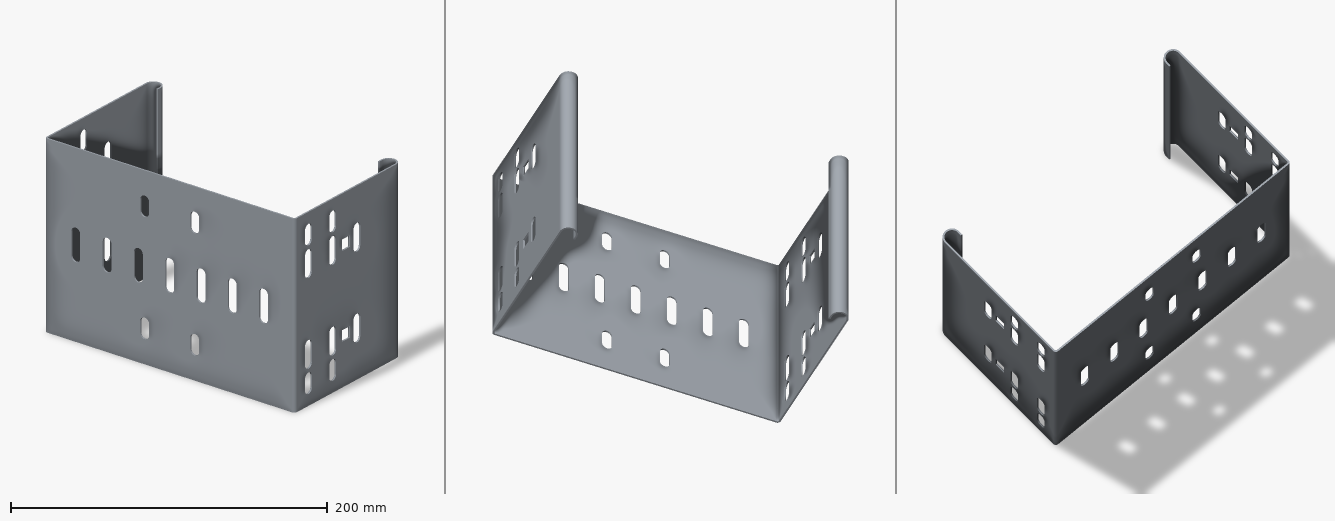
import cadquery as cq

WIDTH = 200.0
DEPTH = 110.5
HEIGHT = 135.0
SHEET = 1.2

INNER_BEND_RADIUS = 1.0
BEND_RADIUS = INNER_BEND_RADIUS + SHEET
HOOK_RADIUS = 6.0
LIP_LENGTH = 3.0

SLOT_WIDTH = 7.0

ROW_SLOT_COUNT = 7
ROW_SLOT_PITCH = 25.0
ROW_SLOT_LENGTH = 24.0
BACK_SLOT_LENGTH = 15.0
BACK_SLOT_SPACING_X = 40.0
BACK_SLOT_SPACING_Z = 85.0

COLUMN_PITCH = 25.0
FIRST_COLUMN_Y = 14.0
INNER_SLOT_COLUMNS = 3
INNER_SLOT_LENGTH = 20.0
INNER_SPACING_Z = 63.2
OUTER_SLOT_COLUMNS = 2
OUTER_SLOT_LENGTH = 15.0
OUTER_SPACING_Z = 103.5
SQUARE_SIDE = 8.0
SQUARE_Y = 52.5


def right_half_profile():
    """Closed sheet section for X >= 0, drawn in the XY plane."""
    outer_x = WIDTH / 2
    inner_x = outer_x - SHEET
    bend_x = outer_x - BEND_RADIUS
    hook_x = outer_x - HOOK_RADIUS
    hook_y = DEPTH - HOOK_RADIUS
    lip_end_y = hook_y - LIP_LENGTH
    lip_outer_x = hook_x - HOOK_RADIUS
    return (
        cq.Workplane("XY")
        .moveTo(0, 0)
        .lineTo(bend_x, 0)
        .radiusArc((outer_x, BEND_RADIUS), -BEND_RADIUS)
        .lineTo(outer_x, hook_y)
        .threePointArc((hook_x, DEPTH), (lip_outer_x, hook_y))
        .lineTo(lip_outer_x, lip_end_y)
        .lineTo(lip_outer_x + SHEET, lip_end_y)
        .lineTo(lip_outer_x + SHEET, hook_y)
        .threePointArc((hook_x, DEPTH - SHEET), (inner_x, hook_y))
        .lineTo(inner_x, BEND_RADIUS)
        .radiusArc((bend_x, SHEET), INNER_BEND_RADIUS)
        .lineTo(0, SHEET)
        .close()
    )


def channel():
    half = right_half_profile().extrude(HEIGHT / 2, both=True)
    return half.union(half.mirror("YZ"))


def back_slots(points, length):
    """Upright slot cutters through the back plate at (x, z) points."""
    return (
        cq.Workplane("XZ")
        .pushPoints(points)
        .slot2D(length, SLOT_WIDTH, 90)
        .extrude(2 * SHEET, both=True)
    )


def side_slots(points, length):
    """Upright slot cutters through both side walls at (y, z) points."""
    return (
        cq.Workplane("YZ")
        .pushPoints(points)
        .slot2D(length, SLOT_WIDTH, 90)
        .extrude(WIDTH, both=True)
    )


def side_squares(points):
    """Square cutters through both side walls at (y, z) points."""
    return (
        cq.Workplane("YZ")
        .pushPoints(points)
        .rect(SQUARE_SIDE, SQUARE_SIDE)
        .extrude(WIDTH, both=True)
    )


def column_ys(count):
    """Y positions of the slot columns nearest the back plate."""
    return [FIRST_COLUMN_Y + i * COLUMN_PITCH for i in range(count)]


def mirrored_pairs(positions, spacing):
    """Points at each position, half the spacing above and below Z = 0."""
    return [(p, side * spacing / 2) for p in positions for side in (-1, 1)]


row_middle = (ROW_SLOT_COUNT - 1) / 2
row_points = [((i - row_middle) * ROW_SLOT_PITCH, 0) for i in range(ROW_SLOT_COUNT)]
back_xs = [-BACK_SLOT_SPACING_X / 2, BACK_SLOT_SPACING_X / 2]
back_points = mirrored_pairs(back_xs, BACK_SLOT_SPACING_Z)

inner_points = mirrored_pairs(column_ys(INNER_SLOT_COLUMNS), INNER_SPACING_Z)
outer_points = mirrored_pairs(column_ys(OUTER_SLOT_COLUMNS), OUTER_SPACING_Z)
square_points = mirrored_pairs([SQUARE_Y], INNER_SPACING_Z)

result = (
    channel()
    .cut(back_slots(row_points, ROW_SLOT_LENGTH))
    .cut(back_slots(back_points, BACK_SLOT_LENGTH))
    .cut(side_slots(inner_points, INNER_SLOT_LENGTH))
    .cut(side_slots(outer_points, OUTER_SLOT_LENGTH))
    .cut(side_squares(square_points))
)